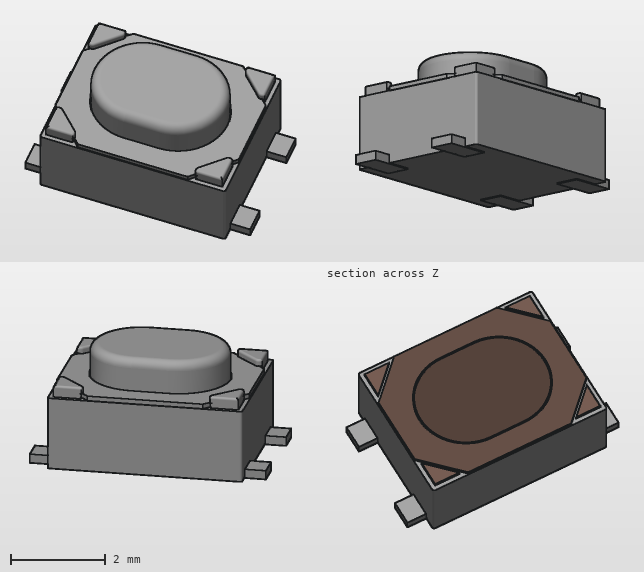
import cadquery as cq
import math

LEAD_SPAN = 5.1
LEAD_INNER_SPAN = 3.0
LEAD_WIDTH = 0.55
LEAD_PITCH = 2.125
LEAD_THICKNESS = 0.2
BLOCK_LENGTH = 4.2
BLOCK_WIDTH = 3.3
BLOCK_BOTTOM = 0.02
BLOCK_TOP = 1.6
BLOCK_EDGE_RADIUS = 0.05

PLATE_THICKNESS = 0.1
PLATE_INSET = 0.02
PLATE_POST_GAP = 0.05
BUTTON_CLEARANCE = 0.02

POST_INSET = 0.1
POST_LEG = 0.6
POST_HEIGHT = 0.25
POST_OVERHANG = 0.1
POST_EDGE_RADIUS = 0.05

BUTTON_LENGTH = 3.0
BUTTON_WIDTH = 2.2
BUTTON_TOP = 2.4
BUTTON_EDGE_RADIUS = 0.2

PLATE_TOP = BLOCK_TOP + PLATE_THICKNESS
POST_TOP = BLOCK_TOP + POST_HEIGHT
POST_CORNER_X = BLOCK_LENGTH / 2 - POST_INSET
POST_CORNER_Y = BLOCK_WIDTH / 2 - POST_INSET


def make_block():
    """Rectangular block with rounded vertical edges."""
    block = cq.Workplane("XY").workplane(offset=BLOCK_BOTTOM)
    block = block.rect(BLOCK_LENGTH, BLOCK_WIDTH).extrude(BLOCK_TOP - BLOCK_BOTTOM)
    return block.edges("|Z").fillet(BLOCK_EDGE_RADIUS)


def make_leads():
    """Four flat leads, two on each short side, reaching just below the block."""
    lead_length = (LEAD_SPAN - LEAD_INNER_SPAN) / 2
    lead_spacing = (LEAD_SPAN + LEAD_INNER_SPAN) / 2
    centres = cq.Workplane("XY").rarray(lead_spacing, LEAD_PITCH, 2, 2)
    return centres.rect(lead_length, LEAD_WIDTH).extrude(LEAD_THICKNESS)


def make_post():
    """Triangular post at the +X +Y corner, with a head that overhangs the plate."""
    end_x = POST_CORNER_X - POST_LEG
    end_y = POST_CORNER_Y - POST_LEG
    half_chord = POST_OVERHANG / math.sqrt(2)

    stem = (
        cq.Workplane("XY").workplane(offset=BLOCK_TOP)
        .moveTo(POST_CORNER_X, POST_CORNER_Y)
        .lineTo(end_x, POST_CORNER_Y)
        .lineTo(POST_CORNER_X, end_y)
        .close()
        .extrude(PLATE_THICKNESS)
    )
    head = (
        cq.Workplane("XY").workplane(offset=PLATE_TOP)
        .moveTo(POST_CORNER_X, POST_CORNER_Y)
        .lineTo(end_x, POST_CORNER_Y)
        .threePointArc(
            (end_x + half_chord - POST_OVERHANG, POST_CORNER_Y - half_chord),
            (end_x, POST_CORNER_Y - 2 * half_chord),
        )
        .lineTo(POST_CORNER_X - 2 * half_chord, end_y)
        .threePointArc(
            (POST_CORNER_X - half_chord, end_y + half_chord - POST_OVERHANG),
            (POST_CORNER_X, end_y),
        )
        .close()
        .extrude(POST_TOP - PLATE_TOP)
    )
    head = head.faces(">Z").edges().fillet(POST_EDGE_RADIUS)
    return stem.union(head)


def make_housing():
    """Block, leads and the four mirrored posts as one solid."""
    housing = make_block().union(make_leads())
    post = make_post()
    mirrored_post = post.mirror("YZ")
    for corner_post in (post, mirrored_post, post.mirror("XZ"), mirrored_post.mirror("XZ")):
        housing = housing.union(corner_post)
    return housing


def make_plate():
    """Cover plate with corners cut back from the posts and a hole for the button."""
    length = BLOCK_LENGTH - 2 * PLATE_INSET
    width = BLOCK_WIDTH - 2 * PLATE_INSET
    corner_cut = POST_LEG + math.sqrt(2) * PLATE_POST_GAP + 2 * (POST_INSET - PLATE_INSET)
    hole_length = BUTTON_LENGTH + 2 * BUTTON_CLEARANCE
    hole_width = BUTTON_WIDTH + 2 * BUTTON_CLEARANCE

    plate = cq.Workplane("XY").workplane(offset=BLOCK_TOP)
    plate = plate.rect(length, width).extrude(PLATE_THICKNESS)
    plate = plate.edges("|Z").chamfer(corner_cut)
    hole = cq.Workplane("XY").workplane(offset=BLOCK_TOP)
    hole = hole.slot2D(hole_length, hole_width).extrude(PLATE_THICKNESS)
    return plate.cut(hole)


def make_button():
    """Stadium-shaped button standing on the block, with a rounded top edge."""
    button = cq.Workplane("XY").workplane(offset=BLOCK_TOP)
    button = button.slot2D(BUTTON_LENGTH, BUTTON_WIDTH).extrude(BUTTON_TOP - BLOCK_TOP)
    return button.faces(">Z").edges().fillet(BUTTON_EDGE_RADIUS)


housing = make_housing()
plate = make_plate()
button = make_button()

result = cq.Compound.makeCompound([housing.solids().val(), plate.val(), button.val()])